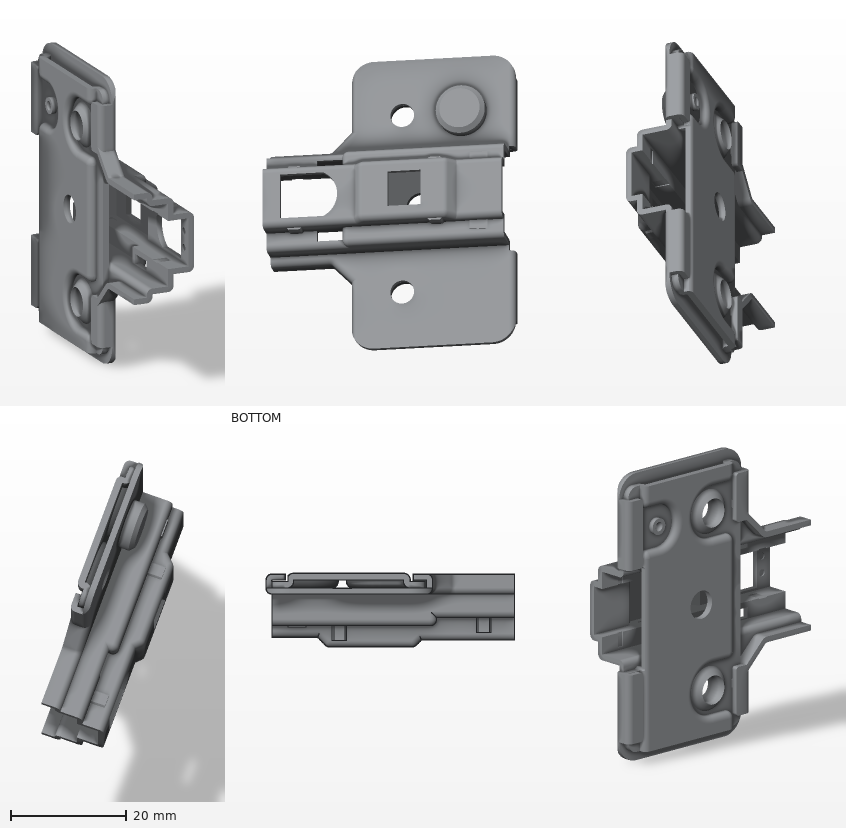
import cadquery as cq
import math

plate_width = 28.85
plate_height = 52.0
total_length = 43.05
total_depth = 12.8

sheet = 1.05
plate_back = 3.65
plate_front = plate_back - sheet
plate_corner_radius = 4.0
hem_front = 0.15
hem_reach = 3.4
hem_top = plate_height / 2 - plate_corner_radius - 0.05
lip_corner_radius = 0.5
left_hem_bottom = 9.45
right_hem_bottom = 13.1

arm_outer = 10.05
arm_corner_x = 32.45
arm_bend_radius = 0.8

step_half = 8.55
step_depth = 9.1
arm_step_depth = 7.7
riser_x = 29.55
crown_half = 5.4
left_crown_depth = 11.15
right_crown_depth = 11.6
crown_rise_x = 8.95
crown_fall_x = 26.95
ramp_bend_radius = 1.05

crown_window_left = 15.0
crown_window_right = 20.8
crown_window_half = 3.1
mouth_left = 29.9
mouth_right = 39.95
mouth_half = 3.95
mouth_radius = 4.4
slot_end_x = 34.1
slot_outer = 7.3
dimple_x = 41.15
dimple_spacing = 3.0
dimple_radius = 0.6
dimple_depth = 0.25

lug_length = 2.55
lug_rise = 0.3
lug_recess = 0.15
lug_height = 2.6
lug_starts = ((11.45, step_depth), (36.45, arm_step_depth))
pad_center_x = 5.4
pad_length = 3.1
pad_recess_length = 1.15
pad_rise = 0.2
pad_outer = 6.95

front_sheet = 1.2
flat_front = plate_front - front_sheet
front_left = 1.05
front_right = 27.55
front_half_height = 24.0
front_corner_radius = 2.0
raised_left = 3.6
raised_right = 25.0
raised_trim_x = 3.8
notch_x = 4.0
notch_radius = 0.45
pocket_corner_radius = 1.25

screw_x = 19.85
fixing_z = 16.0
screw_pocket_radius = 4.75
pin_pocket_radius = 3.9
boss_radius = 4.0
boss_tip_radius = 2.6
screw_hole_radius = 2.1
sight_hole_x = 17.0
sight_hole_radius = 2.55

stem_x = 7.45
stem_radius = 1.48
stem_tip = 0.45
center_mark_radius = 0.85
head_x = 9.3
head_radius = 4.3
head_back = 6.35
head_chamfer = 0.8

overshoot = 5.2


def box(x0, x1, y0, y1, z0, z1):
    return cq.Workplane("XY").box(x1 - x0, y1 - y0, z1 - z0, centered=False).translate((x0, y0, z0))


def mirrored(shape):
    """The shape together with its mirror image below Z = 0."""
    return shape.union(shape.mirror("XY"))


def plan(points, y0, y1):
    """Prism over an X-Z outline, from depth y0 to y1."""
    return cq.Workplane("XZ").polyline(points).close().extrude(y0 - y1).translate((0, y0, 0))


def rod(x, z, radius, y0, y1):
    return cq.Workplane("XZ").center(x, z).circle(radius).extrude(y0 - y1).translate((0, y0, 0))


def cone(x, z, radius0, radius1, y0, y1):
    solid = cq.Solid.makeCone(radius0, radius1, y1 - y0, cq.Vector(x, y0, z), cq.Vector(0, 1, 0))
    return cq.Workplane(obj=solid)


def side_profile(points, half):
    """Prism over an X-Y outline, from Z = -half to half."""
    return cq.Workplane("XY").polyline(points).close().extrude(2 * half).translate((0, 0, -half))


def arm_plan(inset, y0, y1):
    """Plan of the 45 degree run and the two straight arms, moved inwards by `inset`."""
    half = arm_outer - inset
    corner_x = arm_corner_x - inset * math.tan(math.radians(22.5))
    start_x = plate_width - hem_reach
    start_z = half + corner_x - start_x
    points = [(start_x, start_z), (corner_x, half), (total_length, half)]
    points += [(x, -z) for x, z in reversed(points)]
    solid = plan(points, y0, y1)
    bends = cq.selectors.BoxSelector((corner_x - 0.5, y0 - 0.5, -half - 0.5), (corner_x + 0.5, y1 + 0.5, half + 0.5))
    return solid.edges("|Y").edges(bends).fillet(arm_bend_radius + inset)


def hem_sleeve():
    """Full-height block with the rounded section that the main plate and its hems share."""
    half = plate_height / 2
    return box(0, plate_width, hem_front, plate_back, -half, half).edges("|Z").fillet(sheet)


def main_plate():
    half = plate_height / 2
    outline = box(0, plate_width, plate_front, plate_back, -half, half)
    outline = outline.edges("|Y").fillet(plate_corner_radius)
    edge_relief = box(-0.5, sheet, 0, plate_back, -left_hem_bottom, left_hem_bottom)
    return outline.intersect(hem_sleeve()).cut(edge_relief)


def hem(x0, x1, inner_edge, z_bottom):
    """One C-shaped hem, rounded at the two inner corners of its lip."""
    block = box(x0, x1, 0, plate_back, z_bottom, hem_top).edges("|Y").edges(inner_edge)
    lip = block.fillet(lip_corner_radius).intersect(hem_sleeve())
    return lip.cut(box(sheet, plate_width - sheet, hem_front + sheet, plate_back, 0, plate_height))


def left_hem():
    return hem(0, hem_reach, ">X", left_hem_bottom)


def right_hem():
    """The right hem ends where the 45 degree run of the arm leaves the plate."""
    beyond_arm = plan(
        [
            (arm_corner_x, arm_outer),
            (arm_corner_x - overshoot, arm_outer + overshoot),
            (arm_corner_x, arm_outer + overshoot),
        ],
        -0.5,
        plate_back + 0.5,
    )
    corner = box(plate_width - sheet, plate_width, -0.5, plate_back, 0, arm_outer + arm_corner_x - plate_width)
    whole = hem(plate_width - hem_reach, plate_width, "<X", right_hem_bottom)
    return whole.cut(corner.cut(arm_plan(0, -1.05, plate_back + 0.5)).cut(beyond_arm))


def arms():
    """Arm web and its two side walls, with the outside bend rounded."""
    solid = arm_plan(0, hem_front, plate_back)
    outer_bend = cq.selectors.BoxSelector(
        (0, plate_back - 0.05, -overshoot - 2 * arm_outer),
        (total_length - 0.05, plate_back + 0.05, overshoot + 2 * arm_outer),
    )
    solid = solid.faces(">Y").edges("not |Z").edges(outer_bend).fillet(sheet)
    return solid.cut(arm_plan(sheet, -0.5, plate_front))


def crown_outline(inset):
    """X-Y outline of the crown, moved inwards by `inset`: two flats and a raised middle with 45 degree ramps."""
    shift = inset * math.tan(math.radians(22.5))
    left, middle, right = (depth - inset for depth in (left_crown_depth, total_depth, right_crown_depth))
    rise_x = crown_rise_x + shift
    fall_x = crown_fall_x - shift
    return [
        (sheet, plate_front),
        (sheet, left),
        (rise_x, left),
        (rise_x + middle - left, middle),
        (fall_x - middle + right, middle),
        (fall_x, right),
        (total_length, right),
        (total_length, plate_front),
    ]


def crown_outer():
    points = crown_outline(0)
    solid = side_profile(points, crown_half)
    solid = solid.faces(">Y").edges("|Z").fillet(ramp_bend_radius)
    low = left_crown_depth - 0.05
    rims = cq.selectors.BoxSelector((sheet, low, -crown_half - 0.5), (total_length, total_depth + 0.5, crown_half + 0.5))
    return solid.edges(rims).edges("#Z").fillet(sheet)


def step_outer():
    deep = box(sheet, riser_x, plate_front, step_depth, -step_half, step_half)
    deep = deep.edges("(>Y and |X) or >X").edges("not <Y").fillet(sheet)
    shallow = box(sheet, total_length, plate_front, arm_step_depth, -step_half, step_half)
    return deep.union(shallow.edges(">Y and |X").fillet(sheet))


def channel_hollow():
    half = step_half - sheet
    deep = box(sheet, riser_x - sheet, 0, step_depth - sheet, -half, half)
    shallow = box(sheet, total_length, 0, arm_step_depth - sheet, -half, half)
    return deep.union(shallow).union(side_profile(crown_outline(sheet), crown_half - sheet))


def lugs():
    """Tapered lugs on the outside of both crown walls."""
    shapes = cq.Workplane()
    for start, base in lug_starts:
        points = [
            (start, crown_half),
            (start + lug_rise, crown_half + lug_rise),
            (start + lug_length - lug_rise, crown_half + lug_rise),
            (start + lug_length, crown_half),
        ]
        root = [(start + lug_length, crown_half - sheet / 2), (start, crown_half - sheet / 2)]
        lug = cq.Workplane("XY").add(plan_lug(points + root, base))
        shapes = shapes.add(mirrored(lug).vals())
    return shapes


def plan_lug(points, base):
    return plan(points, base - sheet / 2, base + lug_height).vals()


def lug_recesses():
    shapes = cq.Workplane()
    wall = crown_half - sheet
    for start, base in lug_starts:
        pocket = box(
            start + lug_rise, start + lug_length - lug_rise,
            base - sheet, base + lug_height - sheet, wall - 0.5, wall + lug_recess,
        )
        shapes = shapes.add(mirrored(pocket).vals())
    return shapes


def step_pad(length, depth):
    x0 = pad_center_x - length / 2
    top = depth + pad_rise
    return mirrored(box(x0, x0 + length, depth - 0.5, top, crown_half - sheet, pad_outer))


def mouth():
    tip_x = mouth_left + mouth_radius
    chord_x = tip_x - math.sqrt(mouth_radius**2 - mouth_half**2)
    return (
        cq.Workplane("XZ")
        .moveTo(mouth_right, mouth_half)
        .lineTo(chord_x, mouth_half)
        .threePointArc((mouth_left, 0), (chord_x, -mouth_half))
        .lineTo(mouth_right, -mouth_half)
        .close()
        .extrude(-total_depth - overshoot)
    )


def make_housing():
    hems = left_hem().union(right_hem())
    body = main_plate().union(arms()).union(mirrored(hems))
    body = body.union(step_outer()).union(crown_outer()).union(lugs())
    body = body.union(step_pad(pad_length, step_depth))
    body = body.cut(channel_hollow())
    half = step_half - sheet
    lip = cq.selectors.BoxSelector(
        (sheet, plate_front - 0.05, -half - 0.05), (total_length, plate_front + 0.05, half + 0.05)
    )
    body = body.edges("|X").edges(lip).fillet(sheet - 0.005)
    body = body.cut(lug_recesses())
    body = body.cut(step_pad(pad_recess_length, step_depth - sheet))
    body = body.cut(mouth())
    body = body.cut(
        box(crown_window_left, crown_window_right, step_depth, total_depth + 0.5, -crown_window_half, crown_window_half)
    )
    body = body.cut(mirrored(box(riser_x, slot_end_x, plate_back, arm_step_depth + 0.5, crown_half, slot_outer)))
    dimple_floor = right_crown_depth - sheet + dimple_depth
    body = body.cut(mirrored(rod(dimple_x, dimple_spacing / 2, dimple_radius, plate_back, dimple_floor)))
    body = body.cut(mirrored(rod(screw_x, fixing_z, screw_hole_radius, 0, plate_back + 0.5)))
    return body.cut(rod(stem_x, fixing_z, stem_radius, 0, plate_back + 0.5))


def panel_plan(wall_offset, y0, y1):
    """Raised panel outline with its pockets; `wall_offset` moves every wall into the panel."""
    half = plate_height / 2 + overshoot
    panel = box(raised_left + wall_offset, raised_right - wall_offset, y0, y1, -half, half)
    screw_radius = screw_pocket_radius + wall_offset
    pin_radius = pin_pocket_radius + wall_offset
    for z in (fixing_z, -fixing_z):
        panel = panel.cut(rod(screw_x, z, screw_radius, y0, y1))
        panel = panel.cut(box(screw_x, plate_width, y0, y1, z - screw_radius, z + screw_radius))
    panel = panel.cut(rod(stem_x, fixing_z, pin_radius, y0, y1))
    return panel.cut(box(0, stem_x, y0, y1, fixing_z - pin_radius, fixing_z + pin_radius))


def make_front_plate():
    half = plate_height / 2 + overshoot
    raised = panel_plan(0, 0, plate_front)
    pocket_corners = cq.selectors.BoxSelector(
        (raised_left - 0.5, -0.5, 0.5 - half), (raised_left + 0.5, plate_front + 0.5, half - 0.5)
    ) + cq.selectors.BoxSelector((raised_right - 0.5, -0.5, 0.5 - half), (raised_right + 0.5, plate_front + 0.5, half - 0.5))
    raised = raised.edges("|Y").edges(pocket_corners).fillet(pocket_corner_radius)
    raised = raised.faces("<Y").edges("not(<Z or >Z)").fillet(front_sheet)
    trim = box(0, raised_trim_x, -0.5, flat_front, -half, half)
    flat = box(-overshoot, plate_width + overshoot, flat_front, plate_front, -half + 0.5, half - 0.5)
    body = raised.cut(trim).union(flat)
    body = body.cut(panel_plan(front_sheet, front_sheet, plate_front + 0.5))
    recess_rim = cq.selectors.BoxSelector(
        (raised_left, plate_front - 0.05, 1.05 - half), (raised_right, plate_front + 0.05, half - 1.05)
    )
    body = body.edges(recess_rim).fillet(front_sheet)

    outline = box(front_left, front_right, -0.5, plate_front, -front_half_height, front_half_height)
    body = body.intersect(outline.edges("|Y").fillet(front_corner_radius))
    notch = box(-overshoot, notch_x, -0.5, plate_front + 0.5, -left_hem_bottom, left_hem_bottom)
    body = body.cut(notch.edges("|Y and >X").fillet(notch_radius))
    wall_gap_half = left_hem_bottom - notch_radius
    body = body.cut(
        box(0, raised_left + front_sheet, front_sheet, plate_front + 0.5, -wall_gap_half, wall_gap_half)
    )

    for z in (fixing_z, -fixing_z):
        body = body.union(cone(screw_x, z, boss_tip_radius, boss_radius, 0, flat_front))
        body = body.cut(cone(screw_x, z, boss_tip_radius, screw_hole_radius, 0, plate_front))
    body = body.cut(rod(sight_hole_x, 0, sight_hole_radius, -0.5, plate_front))
    return body.cut(rod(stem_x, fixing_z, stem_radius, -0.5, plate_front))


def make_pin():
    head = rod(head_x, fixing_z, head_radius, plate_back, head_back).faces(">Y").chamfer(head_chamfer)
    pin = head.union(rod(stem_x, fixing_z, stem_radius, stem_tip, plate_back))
    return pin.cut(cone(stem_x, fixing_z, center_mark_radius, 0, stem_tip, stem_tip + 2 * center_mark_radius))


housing = make_housing()
front_plate = make_front_plate()
pin = make_pin()

result = cq.Compound.makeCompound([housing.val(), front_plate.val(), pin.val()])